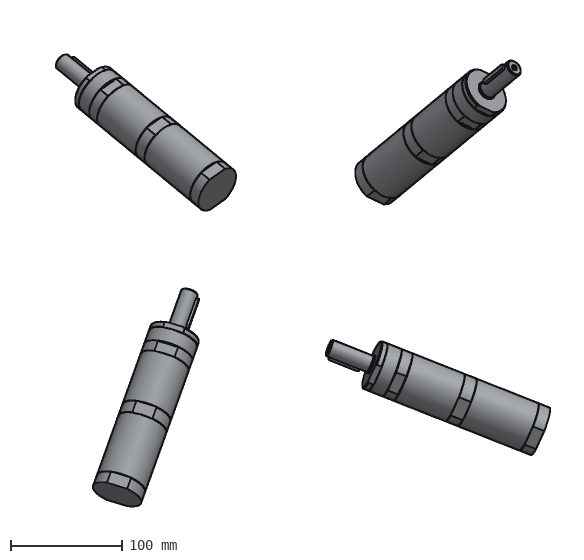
import cadquery as cq
import math

total_length = 206.5
body_diameter = 46.0
body_radius = body_diameter / 2
body_start = 42.0
nose_chamfer = 1.0

flat_bands = [
    (body_start, 48.0),
    (61.3, 72.3),
    (122.9, 135.0),
    (195.1, total_length),
]
across_flats = 42.0

groove_width = 0.5
shallow_groove_diameter = 45.5
deep_groove_diameter = 41.3
grooves = [
    (flat_bands[0][1] - groove_width, shallow_groove_diameter),
    (flat_bands[1][0], deep_groove_diameter),
    (flat_bands[1][1] - groove_width, deep_groove_diameter),
    (flat_bands[2][0], shallow_groove_diameter),
    (flat_bands[2][1] - groove_width, shallow_groove_diameter),
    (flat_bands[3][0], shallow_groove_diameter),
]

shaft_diameter = 16.0
shaft_chamfer = 1.0
collar_start = 40.0
collar_diameter = 17.5
collar_face_diameter = 17.0
collar_chamfer_length = 0.6

key_start = 3.7
key_length = 30.1
key_width = 5.4
key_top = 10.1
key_depth = 5.0

hole_diameter = 4.1
countersink_diameter = 5.4
hole_depth = 8.3
countersink_half_angle = math.radians(30)
drill_half_angle = math.radians(59)


def x_cylinder(start, end, diameter):
    """Solid cylinder on the X axis between two stations."""
    return cq.Workplane("YZ", origin=(start, 0, 0)).circle(diameter / 2).extrude(end - start)


def make_body():
    """Main cylinder with its shaft-side rim chamfered."""
    body = x_cylinder(body_start, total_length, body_diameter)
    return body.faces("<X").chamfer(nose_chamfer)


def cut_flats(body):
    """Cut a parallel pair of flats, facing +Z and -Z, into each band."""
    cut_height = body_radius - across_flats / 2
    cut_center = across_flats / 2 + cut_height / 2
    for start, end in flat_bands:
        for side in (1, -1):
            cutter = cq.Workplane(origin=((start + end) / 2, 0, side * cut_center)).box(
                end - start, body_diameter, cut_height
            )
            body = body.cut(cutter)
    return body


def cut_grooves(body):
    """Turn each narrow groove down to its own diameter."""
    for start, diameter in grooves:
        end = start + groove_width
        ring = x_cylinder(start, end, 2 * body_diameter).cut(x_cylinder(start, end, diameter))
        body = body.cut(ring)
    return body


def make_shaft():
    """Shaft with a chamfered end and a chamfered collar against the body."""
    shaft = x_cylinder(0, body_start, shaft_diameter).faces("<X").chamfer(shaft_chamfer)
    collar = x_cylinder(collar_start, body_start, collar_diameter)
    chamfer_depth = (collar_diameter - collar_face_diameter) / 2
    collar = collar.faces("<X").edges().chamfer(collar_chamfer_length, chamfer_depth)
    return shaft.union(collar)


def make_key():
    """Round-ended key, its lower part sunk in the shaft."""
    return (
        cq.Workplane("XZ", origin=(key_start + key_length / 2, key_top, 0))
        .slot2D(key_length, key_width)
        .extrude(key_depth)
    )


def make_centre_hole():
    """Countersunk drilled hole with a conical bottom, revolved about X."""
    hole_radius = hole_diameter / 2
    countersink_radius = countersink_diameter / 2
    countersink_depth = (countersink_radius - hole_radius) / math.tan(countersink_half_angle)
    tip = hole_depth + hole_radius / math.tan(drill_half_angle)
    profile = [
        (0, 0),
        (0, countersink_radius),
        (countersink_depth, hole_radius),
        (hole_depth, hole_radius),
        (tip, 0),
    ]
    return cq.Workplane("XY").polyline(profile).close().revolve(360, (0, 0, 0), (1, 0, 0))


body = cut_grooves(cut_flats(make_body()))
shaft = make_shaft().union(make_key()).cut(make_centre_hole())
result = body.union(shaft)